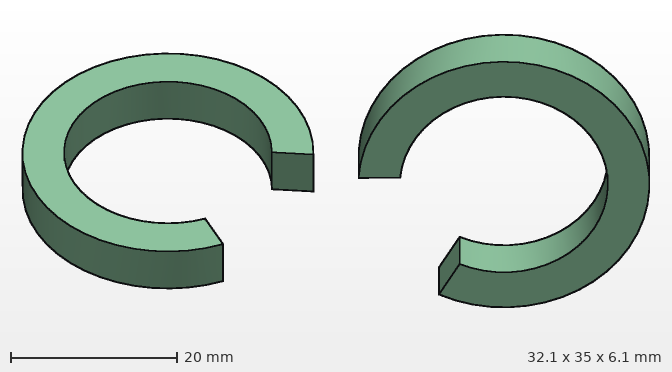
import cadquery as cq
import math

outer_radius = 17.5
inner_radius = 12.5
height = 6.1

opening_half_angle = 30.0
apex_x = -2.0
wedge_length = 2 * outer_radius


def full_ring():
    return cq.Workplane("XY").circle(outer_radius).circle(inner_radius).extrude(height)


def opening_wedge():
    half_width = wedge_length * math.tan(math.radians(opening_half_angle))
    far_x = apex_x + wedge_length
    return (
        cq.Workplane("XY")
        .polyline([(apex_x, 0), (far_x, -half_width), (far_x, half_width)])
        .close()
        .extrude(height)
    )


result = full_ring().cut(opening_wedge())